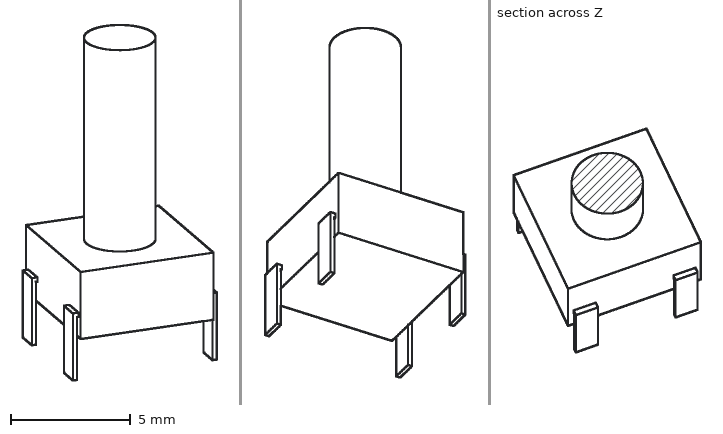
import cadquery as cq

total_height = 13.9
body_side = 6.0
depth_over_legs = 6.5

body_height = 3.0
plunger_diameter = 3.0
plunger_height = 9.0

leg_width = 1.0
leg_length = 3.0
leg_thickness = 0.2
leg_spacing = 4.5

body_bottom = total_height - plunger_height - body_height
body_top = body_bottom + body_height
half_body = body_side / 2
leg_outer_y = depth_over_legs / 2
leg_inner_y = leg_outer_y - leg_thickness


def make_leg(x_center):
    """Leg on the -Y side, drawn as an L profile in the YZ plane."""
    profile = [
        (-leg_outer_y, 0),
        (-leg_inner_y, 0),
        (-leg_inner_y, leg_length - leg_thickness),
        (-half_body, leg_length - leg_thickness),
        (-half_body, leg_length),
        (-leg_outer_y, leg_length),
    ]
    leg = cq.Workplane("YZ").polyline(profile).close().extrude(leg_width / 2, both=True)
    return leg.translate((x_center, 0, 0))


body = cq.Workplane("XY").workplane(offset=body_bottom).rect(body_side, body_side).extrude(body_height)
plunger = cq.Workplane("XY").workplane(offset=body_top).circle(plunger_diameter / 2).extrude(plunger_height)

result = body.union(plunger)
for x_center in (-leg_spacing / 2, leg_spacing / 2):
    leg = make_leg(x_center)
    result = result.union(leg).union(leg.mirror("XZ"))